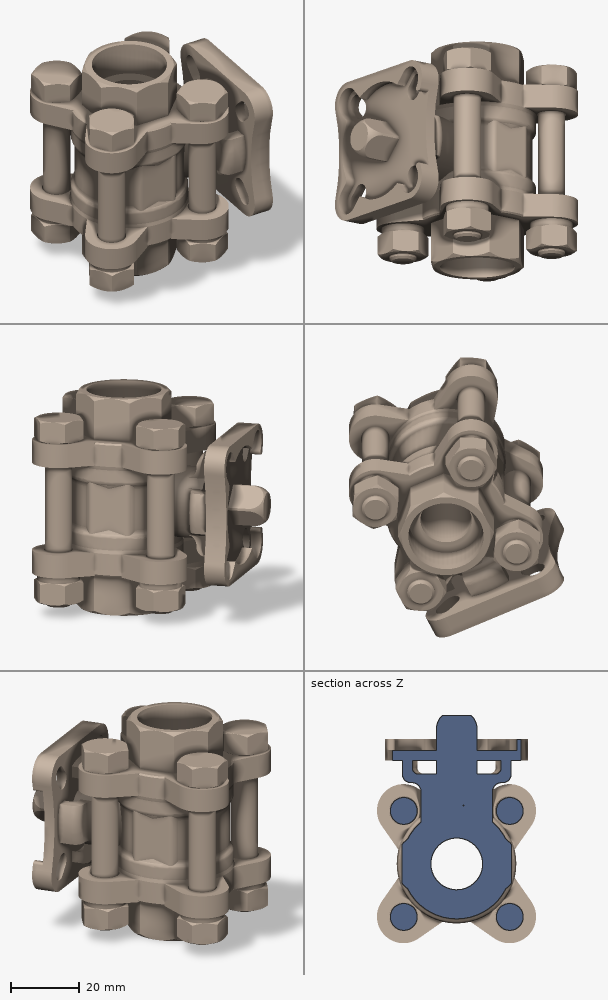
import cadquery as cq
import math


overall_length = 65.0
bore_diameter = 15.0
socket_diameter = 22.0
socket_depth = 10.0
octagon_flats = 26.0
octagon_chamfer_angle = 45.0

flange_outer = 20.0
flange_inner = 13.1
flange_thickness = flange_outer - flange_inner
bolt_offset = 15.5
flange_width = 46.55
lobe_radius = flange_width / 2 - bolt_offset
waist_radius = 17.5
waist_half_width = 4.1
waist_edge_chamfer = 0.45
bolt_hole_diameter = 8.5

bolt_diameter = 8.0
hex_flats = 13.0
hex_height = 6.5
hex_chamfer_angle = 30.0
washer_diameter = 12.5
washer_thickness = 2.0
bolt_end = 29.8
bolt_end_chamfer = 0.7

collar_radius = 17.2
collar_flare_z = 12.0
collar_edge_z = 8.55
barrel_edge_z = 6.2
barrel_radius = 16.15
pad_face_width = 11.6
pad_foot_width = 14.6
pad_height = 15.3
pad_fillet = 1.6

valve_depth = 66.78
stem_top = valve_depth - flange_width / 2
boss_radius = 10.5
boss_top = 26.3
arm_bottom = 21.1
arm_width = 12.0
arm_outer_radius = 16.0
arm_inner_radius = 12.9
arm_bend_radius = 2.6
arm_inner_fillet = 1.75

plate_bottom = 30.2
plate_top = 36.4
plate_size = 41.9
plate_corner_radius = 6.0
side_arc_half_height = 13.3
side_arc_depth = 2.15
recess_diameter = 35.0
recess_floor = 33.3
recess_opening_width = 21.9
opening_outer_fillet = 1.0
opening_inner_fillet = 0.8
pocket_mouth_fillet = 2.0
slot_inner_pitch_radius = 18.0
slot_outer_pitch_radius = 21.0
slot_width = 5.5
slot_pocket_width = 8.5

stem_diameter = 12.0
stem_square = 9.0
stem_tip_radius = 4.2
stem_tip_length = 4.0


def disc(radius, z_low, z_high):
    """Cylinder on the pipe axis between two heights."""
    return cq.Workplane("XY").workplane(offset=z_low).circle(radius).extrude(z_high - z_low)


def stem_axis_plane(y):
    """Workplane square to the stem axis: local x is -X, local y is Z, normal is +Y."""
    return cq.Workplane(cq.Plane(origin=(0, y, 0), xDir=(-1, 0, 0), normal=(0, 1, 0)))


def mirrored_pair(half):
    return half.union(half.mirror("XY"))


def chamfered_prism(sides, flats, height, chamfer_angle, both_ends):
    """Regular prism from z = 0 up whose corners are turned off by a cone at its ends."""
    corner_radius = flats / 2 / math.cos(math.pi / sides)
    drop = (corner_radius - flats / 2) * math.tan(math.radians(chamfer_angle))
    prism = cq.Workplane("XY").polygon(sides, 2 * corner_radius).extrude(height)
    prism = prism.rotate((0, 0, 0), (0, 0, 1), 180 / sides)
    outline = cq.Workplane("XZ").moveTo(0, 0)
    if both_ends:
        outline = outline.lineTo(flats / 2, 0).lineTo(corner_radius, drop)
    else:
        outline = outline.lineTo(corner_radius, 0)
    outline = outline.lineTo(corner_radius, height - drop).lineTo(flats / 2, height).lineTo(0, height)
    return prism.intersect(outline.close().revolve(360, (0, 0), (0, 1)))


def make_pipe_end():
    hub = chamfered_prism(8, octagon_flats, overall_length / 2 - flange_inner, octagon_chamfer_angle, False)
    return hub.translate((0, 0, flange_inner))


def make_flange():
    """Upper flange: four bolt lobes joined to a round waist by straight tangent flanks."""
    waist_y = math.sqrt(waist_radius**2 - waist_half_width**2)
    to_lobe_x = bolt_offset - waist_half_width
    to_lobe_y = bolt_offset - waist_y
    lobe_distance = math.hypot(to_lobe_x, to_lobe_y)
    flank_angle = math.atan2(to_lobe_y, to_lobe_x) + math.asin(lobe_radius / lobe_distance)
    tangent_x = bolt_offset - lobe_radius * math.sin(flank_angle)
    tangent_y = bolt_offset + lobe_radius * math.cos(flank_angle)
    lobe_tip = bolt_offset + lobe_radius * math.sqrt(0.5)

    arm = (
        cq.Workplane("XY")
        .workplane(offset=flange_inner)
        .moveTo(0, 0)
        .lineTo(waist_half_width, waist_y)
        .lineTo(tangent_x, tangent_y)
        .threePointArc((lobe_tip, lobe_tip), (tangent_y, tangent_x))
        .lineTo(waist_y, waist_half_width)
        .close()
        .extrude(flange_thickness)
    )
    flange = disc(waist_radius, flange_inner, flange_outer).faces(">Z").chamfer(waist_edge_chamfer)
    for quarter in range(4):
        flange = flange.union(arm.rotate((0, 0, 0), (0, 0, 1), 90 * quarter))
    holes = (
        cq.Workplane("XY")
        .workplane(offset=flange_inner)
        .rect(2 * bolt_offset, 2 * bolt_offset, forConstruction=True)
        .vertices()
        .circle(bolt_hole_diameter / 2)
        .extrude(flange_thickness)
    )
    return flange.cut(holes)


def make_bolt():
    """Bolt on the Z axis with its head on the upper flange, washer and nut under the lower one."""
    head = chamfered_prism(6, hex_flats, hex_height, hex_chamfer_angle, True)
    shank = disc(bolt_diameter / 2, -bolt_end, flange_outer).faces("<Z").chamfer(bolt_end_chamfer)
    washer_bottom = -flange_outer - washer_thickness
    washer = disc(washer_diameter / 2, washer_bottom, -flange_outer)
    nut = head.translate((0, 0, washer_bottom - hex_height))
    return head.translate((0, 0, flange_outer)).union(shank).union(washer).union(nut)


def make_bolts():
    """Four bolts, each turned a quarter with its place around the pipe axis."""
    bolt = make_bolt().translate((bolt_offset, -bolt_offset, 0))
    bolts = bolt
    for quarter in range(1, 4):
        bolts = bolts.union(bolt.rotate((0, 0, 0), (0, 0, 1), 90 * quarter))
    return bolts


def make_body():
    """Barrel with a collar at each end and a flat pad on each X side."""
    mid_radius = (collar_radius + barrel_radius) / 2
    mid_z = (collar_edge_z + barrel_edge_z) / 2
    half = (
        cq.Workplane("XZ")
        .moveTo(0, 0)
        .lineTo(barrel_radius, 0)
        .lineTo(barrel_radius, barrel_edge_z)
        .tangentArcPoint((mid_radius, mid_z), relative=False)
        .tangentArcPoint((collar_radius, collar_edge_z), relative=False)
        .lineTo(collar_radius, collar_flare_z)
        .lineTo(waist_radius, flange_inner)
        .lineTo(0, flange_inner)
        .close()
        .revolve(360, (0, 0), (0, 1))
    )
    foot_x = math.sqrt(barrel_radius**2 - (pad_foot_width / 2) ** 2)
    pad = (
        cq.Workplane("XY")
        .workplane(offset=-pad_height / 2)
        .moveTo(0, -pad_foot_width / 2)
        .lineTo(foot_x, -pad_foot_width / 2)
        .lineTo(barrel_radius, -pad_face_width / 2)
        .lineTo(barrel_radius, pad_face_width / 2)
        .lineTo(foot_x, pad_foot_width / 2)
        .lineTo(0, pad_foot_width / 2)
        .close()
        .extrude(pad_height)
        .edges("|Z and >X")
        .fillet(pad_fillet)
    )
    return mirrored_pair(half).union(pad).union(pad.mirror("YZ"))


def make_bracket():
    """Boss around the stem and four bent arms that carry the mounting plate."""
    boss = stem_axis_plane(0).circle(boss_radius).extrude(boss_top)
    lower_bend_x = boss_radius + arm_bend_radius
    upper_bend_x = arm_outer_radius - arm_bend_radius
    bend_y = arm_bottom + arm_bend_radius
    diagonal = arm_bend_radius * math.sqrt(0.5)
    inner_bend_x = arm_inner_radius - arm_inner_fillet
    inner_bend_y = boss_top + arm_inner_fillet
    inner_diagonal = arm_inner_fillet * math.sqrt(0.5)
    bell = (
        cq.Workplane("XY")
        .moveTo(0, arm_bottom)
        .lineTo(boss_radius, arm_bottom)
        .threePointArc((lower_bend_x - diagonal, arm_bottom + diagonal), (lower_bend_x, bend_y))
        .lineTo(upper_bend_x, bend_y)
        .threePointArc(
            (upper_bend_x + diagonal, bend_y + arm_bend_radius - diagonal),
            (arm_outer_radius, bend_y + arm_bend_radius),
        )
        .lineTo(arm_outer_radius, plate_bottom)
        .lineTo(arm_inner_radius, plate_bottom)
        .lineTo(arm_inner_radius, inner_bend_y)
        .threePointArc(
            (inner_bend_x + inner_diagonal, inner_bend_y - inner_diagonal),
            (inner_bend_x, boss_top),
        )
        .lineTo(0, boss_top)
        .close()
        .revolve(360, (0, 0), (0, 1))
    )
    arm_span = 2 * arm_outer_radius
    cross = (
        stem_axis_plane(arm_bottom)
        .rect(arm_span, arm_width)
        .extrude(plate_bottom - arm_bottom)
        .union(stem_axis_plane(arm_bottom).rect(arm_width, arm_span).extrude(plate_bottom - arm_bottom))
    )
    return boss.union(bell.intersect(cross))


def make_plate_layer(y_low, y_high, width):
    """Square slab with round corners, hollowed X sides and a diagonal slot in each corner."""
    half_size = plate_size / 2
    thickness = y_high - y_low
    centre = half_size - plate_corner_radius
    corner_tip = centre + plate_corner_radius * math.sqrt(0.5)
    arc_end_x = centre + math.sqrt(plate_corner_radius**2 - (centre - side_arc_half_height) ** 2)
    hollow_x = half_size - side_arc_depth
    layer = (
        stem_axis_plane(y_low)
        .moveTo(-centre, half_size)
        .lineTo(centre, half_size)
        .threePointArc((corner_tip, corner_tip), (arc_end_x, side_arc_half_height))
        .threePointArc((hollow_x, 0), (arc_end_x, -side_arc_half_height))
        .threePointArc((corner_tip, -corner_tip), (centre, -half_size))
        .lineTo(-centre, -half_size)
        .threePointArc((-corner_tip, -corner_tip), (-arc_end_x, -side_arc_half_height))
        .threePointArc((-hollow_x, 0), (-arc_end_x, side_arc_half_height))
        .threePointArc((-corner_tip, corner_tip), (-centre, half_size))
        .close()
        .extrude(thickness)
    )
    slot_travel = slot_outer_pitch_radius - slot_inner_pitch_radius
    slot_mid_radius = (slot_outer_pitch_radius + slot_inner_pitch_radius) / 2
    slot = (
        stem_axis_plane(y_low)
        .center(slot_mid_radius, 0)
        .slot2D(slot_travel + width, width)
        .extrude(thickness)
    )
    for corner_angle in (45, 135, 225, 315):
        layer = layer.cut(slot.rotate((0, 0, 0), (0, 1, 0), corner_angle))
    return layer


def make_plate():
    """Mounting plate whose upper layer holds a round recess, open to -X, and wider slot pockets."""
    recess_depth = plate_top - recess_floor
    recess = stem_axis_plane(recess_floor).circle(recess_diameter / 2).extrude(recess_depth)
    opening = (
        cq.Workplane("XY")
        .box(plate_size / 2, recess_depth, recess_opening_width)
        .translate((-plate_size / 4, (plate_top + recess_floor) / 2, 0))
    )
    rim = make_plate_layer(recess_floor, plate_top, slot_pocket_width).cut(recess).cut(opening)

    half_opening = recess_opening_width / 2
    pocket_wall_x = half_opening + slot_pocket_width * math.sqrt(0.5)
    mouth_angle = math.pi / 4 - math.asin(slot_pocket_width / recess_diameter)
    mouth_x = recess_diameter / 2 * math.cos(mouth_angle)
    mouth_z = recess_diameter / 2 * math.sin(mouth_angle)
    corners = (
        (-plate_size / 2, half_opening, opening_outer_fillet),
        (-pocket_wall_x, half_opening, opening_inner_fillet),
        (mouth_x, mouth_z, pocket_mouth_fillet),
    )
    mid_y = (plate_top + recess_floor) / 2
    for x, z, radius in corners:
        for side in (-1, 1):
            corner = cq.selectors.NearestToPointSelector((x, mid_y, side * z))
            rim = rim.edges("|Y").edges(corner).fillet(radius)
    return rim.union(make_plate_layer(plate_bottom, recess_floor, slot_width))


def make_stem():
    """Round stem with a square drive set corner-on, and a domed tip."""
    radius = stem_diameter / 2
    dome_start = stem_top - stem_tip_length
    stem = (
        cq.Workplane("XY")
        .lineTo(radius, 0)
        .lineTo(radius, dome_start)
        .tangentArcPoint((stem_tip_radius, stem_top), relative=False)
        .lineTo(0, stem_top)
        .close()
        .revolve(360, (0, 0), (0, 1))
    )
    round_part = stem_axis_plane(0).circle(radius).extrude(recess_floor)
    square_part = (
        stem_axis_plane(recess_floor)
        .rect(stem_square, stem_square)
        .extrude(stem_top - recess_floor)
        .rotate((0, 0, 0), (0, 1, 0), 45)
    )
    return stem.intersect(round_part.union(square_part))


def make_bore():
    through = disc(bore_diameter / 2, -overall_length / 2, overall_length / 2)
    socket = disc(socket_diameter / 2, overall_length / 2 - socket_depth, overall_length / 2)
    return through.union(mirrored_pair(socket))


pipe_end = make_pipe_end().union(make_flange())
result = (
    make_body()
    .union(mirrored_pair(pipe_end))
    .union(make_bracket())
    .union(make_plate())
    .union(make_stem())
    .cut(make_bore())
    .union(make_bolts())
)